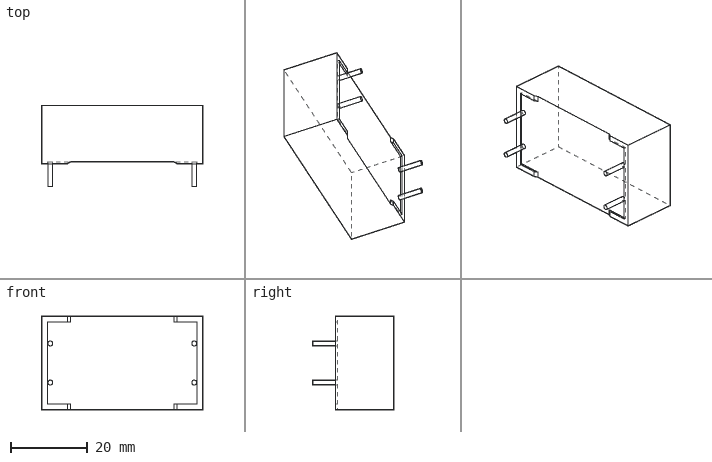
import cadquery as cq

LENGTH = 42.1
HEIGHT = 24.4
TOTAL_DEPTH = 21.2
PIN_REACH = 5.98
PIN_DIAMETER = 1.25
PIN_PITCH_X = 37.5
PIN_PITCH_Z = 10.2
RIM_WIDTH = 1.5
RECESS_DEPTH = 0.45
FOOT_LENGTH = 6.75
RAMP_LENGTH = 0.9

HOUSING_DEPTH = TOTAL_DEPTH - PIN_REACH
PIN_LENGTH = PIN_REACH + RECESS_DEPTH
GAP_HALF_WIDTH = LENGTH / 2 - FOOT_LENGTH


def make_pin(x, z):
    """Round pin standing on the recessed face."""
    return cq.Workplane("XZ", origin=(x, RECESS_DEPTH, z)).circle(PIN_DIAMETER / 2).extrude(PIN_LENGTH)


def make_recess():
    """Rectangular recess inside the rim."""
    return (
        cq.Workplane("XZ")
        .rect(LENGTH - 2 * RIM_WIDTH, HEIGHT - 2 * RIM_WIDTH)
        .extrude(-RECESS_DEPTH)
    )


def make_rim_gap():
    """Ramped gap that cuts both long sides of the rim down to the recess floor."""
    floor_half_width = GAP_HALF_WIDTH - RAMP_LENGTH
    return (
        cq.Workplane("XY")
        .moveTo(-GAP_HALF_WIDTH, 0)
        .lineTo(GAP_HALF_WIDTH, 0)
        .lineTo(floor_half_width, RECESS_DEPTH)
        .lineTo(-floor_half_width, RECESS_DEPTH)
        .close()
        .extrude(HEIGHT / 2, both=True)
    )


def make_housing(fixed_pin):
    """Block with a recessed pin face; one pin is formed in one piece with it."""
    block = cq.Workplane("XZ").rect(LENGTH, HEIGHT).extrude(-HOUSING_DEPTH)
    return block.cut(make_recess()).cut(make_rim_gap()).union(fixed_pin)


fixed_place, *loose_places = [
    (side_x * PIN_PITCH_X / 2, side_z * PIN_PITCH_Z / 2)
    for side_x in (-1, 1)
    for side_z in (1, -1)
]
housing = make_housing(make_pin(*fixed_place))
loose_pins = [make_pin(x, z) for x, z in loose_places]

result = cq.Compound.makeCompound([housing.val(), *[pin.val() for pin in loose_pins]])